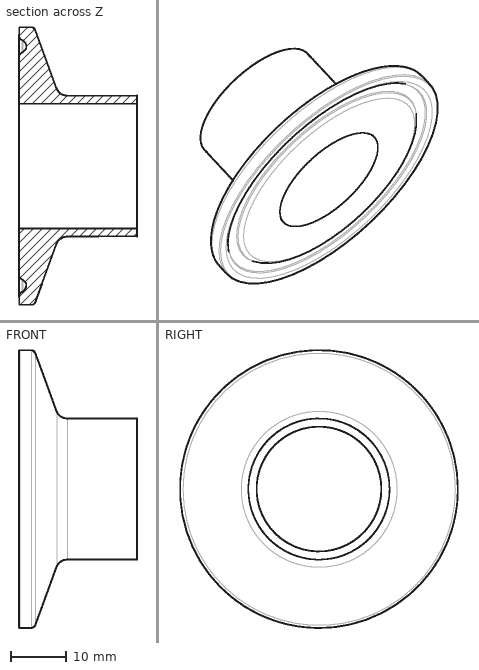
import cadquery as cq
import math

length = 21.5
flange_radius = 25.25
tube_radius = 12.85
bore_radius = 11.3

flange_back_x = 2.85
cone_angle = math.radians(20)
rim_fillet = 0.8
neck_fillet = 2.0
face_edge_fillet = 0.2

groove_radius = 21.75
groove_half_width = 2.0
groove_wall_angle = math.radians(60)
groove_lip_fillet = 1.0
groove_floor_radius = 1.15


def make_body():
    """Revolve the flange, its conical back and the tube about the X axis."""
    neck_x = flange_back_x + (flange_radius - tube_radius) * math.tan(cone_angle)
    profile = (
        cq.Workplane("XY")
        .moveTo(0, 0)
        .lineTo(0, flange_radius)
        .lineTo(flange_back_x, flange_radius)
        .lineTo(neck_x, tube_radius)
        .lineTo(length, tube_radius)
        .lineTo(length, 0)
        .close()
    )
    body = profile.revolve(360, (0, 0, 0), (1, 0, 0))

    def round_edge(solid, x, radius, fillet):
        """Round the circular edge of the given radius at position x."""
        margin = 0.05
        corner = radius + margin
        selector = cq.selectors.BoxSelector(
            (x - margin, -corner, -corner), (x + margin, corner, corner)
        )
        return solid.edges("%CIRCLE").edges(selector).fillet(fillet)

    body = round_edge(body, neck_x, tube_radius, neck_fillet)
    body = round_edge(body, flange_back_x, flange_radius, rim_fillet)
    return round_edge(body, 0, flange_radius, face_edge_fillet)


def make_groove():
    """Revolve a rounded groove whose straight sides blend into lips and floor."""

    def arc_size(radius, angle):
        """Depth and width covered by an arc turning from flat to the given slope."""
        return radius * (1 - math.cos(angle)), radius * math.sin(angle)

    lip_depth, lip_width = arc_size(groove_lip_fillet, groove_wall_angle)
    lip_mid_depth, lip_mid_width = arc_size(groove_lip_fillet, groove_wall_angle / 2)
    floor_rise, floor_width = arc_size(groove_floor_radius, groove_wall_angle)
    wall_width = groove_half_width - lip_width - floor_width
    wall_end_depth = lip_depth + wall_width * math.tan(groove_wall_angle)
    depth = wall_end_depth + floor_rise

    outer = groove_radius + groove_half_width
    inner = groove_radius - groove_half_width
    profile = (
        cq.Workplane("XY")
        .moveTo(0, inner)
        .threePointArc((lip_mid_depth, inner + lip_mid_width), (lip_depth, inner + lip_width))
        .lineTo(wall_end_depth, groove_radius - floor_width)
        .threePointArc((depth, groove_radius), (wall_end_depth, groove_radius + floor_width))
        .lineTo(lip_depth, outer - lip_width)
        .threePointArc((lip_mid_depth, outer - lip_mid_width), (0, outer))
        .close()
    )
    return profile.revolve(360, (0, 0, 0), (1, 0, 0))


bore = cq.Workplane("YZ").circle(bore_radius).extrude(length)

result = make_body().cut(make_groove()).cut(bore)